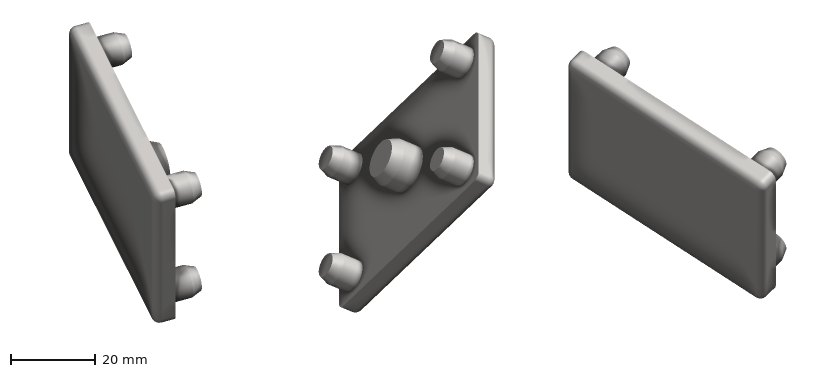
import cadquery as cq

plate_length = 60.0
plate_height = 45.0
plate_thickness = 5.35
edge_radius = 2.0

shoulder_length = 5.3
boss_length = 8.0
boss_radius = 6.0
boss_tip_radius = 4.8
peg_length = 7.8
peg_radius = 4.0
peg_tip_radius = 3.0
peg_inset = 6.1

peg_x = plate_length / 2 - peg_inset
peg_z = plate_height / 2 - peg_inset


def make_stud(radius, tip_radius, length):
    """Cylinder with a conical tip, growing along +Y from the back of the plate."""
    half_profile = [
        (0, 0),
        (radius, 0),
        (radius, shoulder_length),
        (tip_radius, length),
        (0, length),
    ]
    return (
        cq.Workplane("XY")
        .polyline(half_profile)
        .close()
        .revolve(360, (0, 0), (0, 1))
        .translate((0, plate_thickness, 0))
    )


def make_plate():
    """Plate with rounded corners and front rim, and a central boss on its back."""
    slab = (
        cq.Workplane("XY")
        .box(plate_length, plate_thickness, plate_height, centered=(True, False, True))
        .edges("|Y or <Y")
        .fillet(edge_radius)
    )
    boss = make_stud(boss_radius, boss_tip_radius, boss_length)
    return slab.union(boss)


def make_peg(x, z):
    """Separate peg standing on the back of the plate at one corner."""
    return make_stud(peg_radius, peg_tip_radius, peg_length).translate((x, 0, z))


plate = make_plate()

pegs = []
for x in (-peg_x, peg_x):
    for z in (-peg_z, peg_z):
        pegs.append(make_peg(x, z).val())

result = cq.Compound.makeCompound([plate.solids().val(), *pegs])